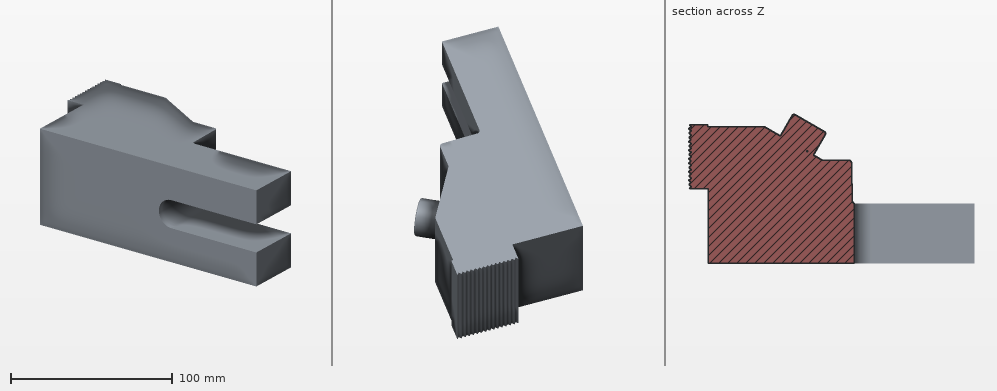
import cadquery as cq
import math

THICKNESS = 65.0
BODY_LENGTH = 165.5
BODY_TOP = 85.0
SHELF_HEIGHT = 37.0
SHOULDER_HEIGHT = 64.25
SLOPE_START_X = 35.0
SLOPE_ANGLE = 30.0
WALL_FOOT_X = 89.9
WALL_DRAFT = 1.25
WALL_FILLET = 2.0

JAW_PROJECTION = 12.0
JAW_BOTTOM = 46.2
JAW_HEIGHT = 40.0
TOOTH_COUNT = 15
TOOTH_DEPTH = 1.5

SLOT_WIDTH = 19.0
SLOT_END_X = 91.0

HEAD_DIAMETER = 24.0
HEAD_HEIGHT = 16.0
HEAD_FILLET = 1.3
HEAD_CENTRE_X = 55.35

slope_angle = math.radians(SLOPE_ANGLE)
slope_grade = math.tan(slope_angle)
mid_z = THICKNESS / 2


def make_body():
    """Stepped profile with a leaning wall, rounded at its foot and at the shoulder."""
    slope_end_x = SLOPE_START_X + (BODY_TOP - SHOULDER_HEIGHT) / slope_grade
    wall_lean = (SHOULDER_HEIGHT - SHELF_HEIGHT) * math.tan(math.radians(WALL_DRAFT))
    wall_top_x = WALL_FOOT_X - wall_lean
    block = (
        cq.Workplane("XY")
        .moveTo(0, 0)
        .lineTo(BODY_LENGTH, 0)
        .lineTo(BODY_LENGTH, SHELF_HEIGHT)
        .lineTo(WALL_FOOT_X, SHELF_HEIGHT)
        .lineTo(wall_top_x, SHOULDER_HEIGHT)
        .lineTo(slope_end_x, SHOULDER_HEIGHT)
        .lineTo(SLOPE_START_X, BODY_TOP)
        .lineTo(0, BODY_TOP)
        .close()
        .extrude(THICKNESS)
    )
    wall_corners = [(WALL_FOOT_X, SHELF_HEIGHT, mid_z), (wall_top_x, SHOULDER_HEIGHT, mid_z)]
    for corner in wall_corners:
        block = block.edges(cq.selectors.NearestToPointSelector(corner)).fillet(WALL_FILLET)
    return block


def make_jaw():
    """Jaw plate with V teeth; a half tooth lies at each end, so both end points are crests."""
    crest_x = -JAW_PROJECTION
    valley_x = crest_x + TOOTH_DEPTH
    pitch = JAW_HEIGHT / TOOTH_COUNT
    outline = cq.Workplane("XY").moveTo(0, JAW_BOTTOM).lineTo(crest_x, JAW_BOTTOM)
    for tooth in range(TOOTH_COUNT):
        crest_y = JAW_BOTTOM + tooth * pitch
        outline = outline.lineTo(valley_x, crest_y + pitch / 2).lineTo(crest_x, crest_y + pitch)
    jaw_top = JAW_BOTTOM + JAW_HEIGHT
    return outline.lineTo(0, jaw_top).close().extrude(THICKNESS)


def make_slot():
    """Tool for the round-ended slot, open on the +X side."""
    radius = SLOT_WIDTH / 2
    centre_x = SLOT_END_X + radius
    length = BODY_LENGTH - centre_x
    channel = cq.Workplane("XY").box(length, SHELF_HEIGHT, SLOT_WIDTH, centered=(False, False, True))
    channel = channel.translate((centre_x, 0, mid_z))
    round_end = (
        cq.Workplane(cq.Plane((centre_x, 0, mid_z), (1, 0, 0), (0, 1, 0)))
        .circle(radius)
        .extrude(SHELF_HEIGHT)
    )
    return channel.union(round_end)


def make_screw_head():
    """Cylinder along the slope normal with a rounded outer rim."""
    base_y = BODY_TOP - (HEAD_CENTRE_X - SLOPE_START_X) * slope_grade
    axis = (math.sin(slope_angle), math.cos(slope_angle), 0)
    seat = cq.Plane((HEAD_CENTRE_X, base_y, mid_z), (0, 0, 1), axis)
    return (
        cq.Workplane(seat)
        .circle(HEAD_DIAMETER / 2)
        .extrude(HEAD_HEIGHT)
        .faces(cq.selectors.DirectionMinMaxSelector(cq.Vector(*axis)))
        .edges().fillet(HEAD_FILLET)
    )


result = make_body().union(make_jaw()).cut(make_slot()).union(make_screw_head())